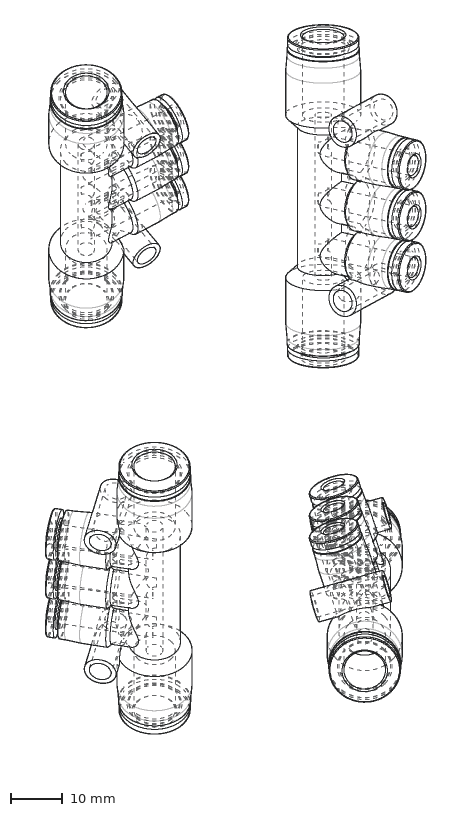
import cadquery as cq
total_length = 66.4
run_diameter = 10.0
run_passage = 3.2
branch_tip_y = 20.9
branch_count = 3
branch_pitch = 10.5

end_socket = {
    "body": 14.5,
    "mouth": 14.0,
    "flange": 13.8,
    "neck": 9.94,
    "bore": 8.0,
    "stem": run_diameter,
    "flange_depth": 1.9,
    "body_depth": 16.5,
}
branch_socket = {
    "body": 10.4,
    "mouth": 10.0,
    "flange": 9.9,
    "neck": 5.97,
    "bore": 4.0,
    "stem": 9.0,
    "flange_depth": 2.0,
    "body_depth": 12.4,
}

crown_depth = 0.4
flange_chamfer = 0.2
neck_chamfer = 0.3
mouth_depth = 2.85
mouth_chamfer = 0.1
taper_start = 4.25
taper_end = 7.25
bore_chamfer = 0.375

mount_diameter = 6.3
mount_hole = 4.3
mount_length = end_socket["body"]
mount_y = 9.15
mount_z = 17.4
web_thickness = 2.0

tip_z = total_length / 2
branch_heights = [(i - (branch_count - 1) / 2) * branch_pitch for i in range(branch_count)]


def turned(profile):
    """Revolve a closed (radius, height) outline about the Z axis."""
    return cq.Workplane("XZ").polyline(profile).close().revolve(360, (0, 0), (0, 1))


def socket(size, length):
    """Solid socket on the Z axis: tip at Z = 0, stem reaching down to Z = -length."""
    rim = size["bore"] / 2 + bore_chamfer
    body = size["body"] / 2
    mouth = size["mouth"] / 2
    flange = size["flange"] / 2
    neck = size["neck"] / 2
    stem = size["stem"] / 2
    flange_depth = size["flange_depth"]
    body_depth = size["body_depth"]
    shoulder_depth = body_depth + body - stem
    return turned([
        (0, 0),
        (rim, 0),
        (flange - flange_chamfer, -crown_depth),
        (flange, -crown_depth - flange_chamfer),
        (flange, -flange_depth),
        (neck + neck_chamfer, -flange_depth),
        (neck, -flange_depth - neck_chamfer),
        (neck, -mouth_depth),
        (mouth - mouth_chamfer, -mouth_depth),
        (mouth, -mouth_depth - mouth_chamfer),
        (mouth, -taper_start),
        (body, -taper_end),
        (body, -body_depth),
        (stem, -shoulder_depth),
        (stem, -length),
        (0, -length),
    ])


def socket_bore(size, depth):
    """Tube bore with a chamfered entry, placed like socket()."""
    radius = size["bore"] / 2
    return turned([
        (0, 0),
        (radius + bore_chamfer, 0),
        (radius, -bore_chamfer),
        (radius, -depth),
        (0, -depth),
    ])


def at_both_ends(shape):
    """Place a socket-style shape at the upper and lower end of the run."""
    upper = shape.translate((0, 0, tip_z))
    return upper.union(upper.mirror("XY"))


def at_branches(shape):
    """Place a socket-style shape at every branch, pointing toward +Y."""
    pointing_out = shape.rotate((0, 0, 0), (1, 0, 0), -90)
    placed = cq.Workplane("XY")
    for height in branch_heights:
        placed = placed.union(pointing_out.translate((0, branch_tip_y, height)))
    return placed


def mounting_cylinders(diameter):
    """Pair of cylinders along X, one near each end socket."""
    centres = [(mount_y, mount_z), (mount_y, -mount_z)]
    return (
        cq.Workplane("YZ")
        .pushPoints(centres)
        .circle(diameter / 2)
        .extrude(mount_length / 2, both=True)
    )


end_sockets = at_both_ends(socket(end_socket, tip_z))
branches = at_branches(socket(branch_socket, branch_tip_y))
web = cq.Workplane("XY").box(web_thickness, mount_y, 2 * mount_z).translate((0, mount_y / 2, 0))
outer = end_sockets.union(branches).union(web).union(mounting_cylinders(mount_diameter))

end_bores = at_both_ends(socket_bore(end_socket, end_socket["body_depth"]))
passage = cq.Workplane("XY").circle(run_passage / 2).extrude(tip_z, both=True)
branch_bores = at_branches(socket_bore(branch_socket, branch_tip_y))

result = (
    outer
    .cut(end_bores)
    .cut(passage)
    .cut(branch_bores)
    .cut(mounting_cylinders(mount_hole))
)